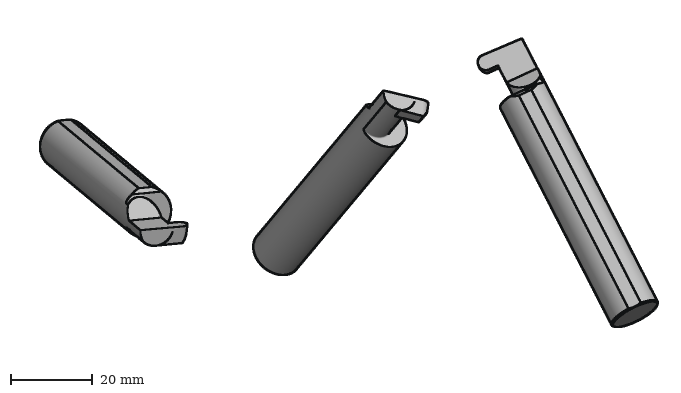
import cadquery as cq
import math

total_length = 76.2
shank_radius = 6.3
shank_length = 62.25
flat_height = 6.1
rear_chamfer = 0.3

neck_radius = 4.4
neck_center_y = -2.4
root_fillet = 0.4

rake_height = 0.0
ramp_foot_x = 67.3
ramp_angle = 45.0
finger_width = 4.05
nose_radius = finger_width / 2
nose_center_y = shank_radius - nose_radius
end_relief_angle = 2.0
end_undercut_angle = 3.0
finger_taper = 7.0


def make_shank_envelope(length):
    """Chamfered round bar that bounds the whole tool."""
    return (
        cq.Workplane("YZ")
        .circle(shank_radius)
        .extrude(length)
        .faces("<X")
        .chamfer(rear_chamfer)
    )


def make_neck():
    """Offset cylinder flaring with a concave fillet into the shank end."""
    flare_radius = neck_radius + root_fillet
    fillet_end_x = shank_length + root_fillet
    mid_offset = root_fillet * (1 - math.sqrt(0.5))
    return (
        cq.Workplane("XY")
        .moveTo(shank_length, 0)
        .lineTo(shank_length, flare_radius)
        .threePointArc(
            (shank_length + mid_offset, neck_radius + mid_offset),
            (fillet_end_x, neck_radius),
        )
        .lineTo(total_length, neck_radius)
        .lineTo(total_length, 0)
        .close()
        .revolve(360, (0, 0, 0), (1, 0, 0))
        .translate((0, neck_center_y, 0))
    )


def make_finger():
    """Round-nosed finger reaching sideways from the neck, narrowing downward."""
    finger_left = total_length - finger_width
    return (
        cq.Workplane("XY", origin=(0, 0, rake_height))
        .moveTo(finger_left, neck_center_y)
        .lineTo(finger_left, nose_center_y)
        .threePointArc(
            (total_length - nose_radius, shank_radius),
            (total_length, nose_center_y),
        )
        .lineTo(total_length, neck_center_y)
        .close()
        .extrude(-neck_radius, taper=finger_taper)
    )


def make_top_cut():
    """Space above the shank flat, the ramp and the rake face."""
    clearance_z = 2 * shank_radius
    ramp_run = (flat_height - rake_height) / math.tan(math.radians(ramp_angle))
    return (
        cq.Workplane("XZ")
        .polyline([
            (0, flat_height),
            (ramp_foot_x - ramp_run, flat_height),
            (ramp_foot_x, rake_height),
            (total_length, rake_height),
            (total_length, clearance_z),
            (0, clearance_z),
        ])
        .close()
        .extrude(2 * shank_radius, both=True)
    )


def make_end_relief():
    """Block behind an end plane that falls back from the nose toward -Y and downward."""
    block_size = 4 * shank_radius
    return (
        cq.Workplane("XY")
        .box(block_size, block_size, block_size, centered=(False, True, True))
        .rotate((0, 0, 0), (0, 1, 0), end_undercut_angle)
        .rotate((0, 0, 0), (0, 0, 1), -end_relief_angle)
        .translate((total_length, nose_center_y, rake_height))
    )


head = make_neck().union(make_finger()).intersect(make_shank_envelope(total_length))
result = (
    make_shank_envelope(shank_length)
    .union(head)
    .cut(make_top_cut())
    .cut(make_end_relief())
)